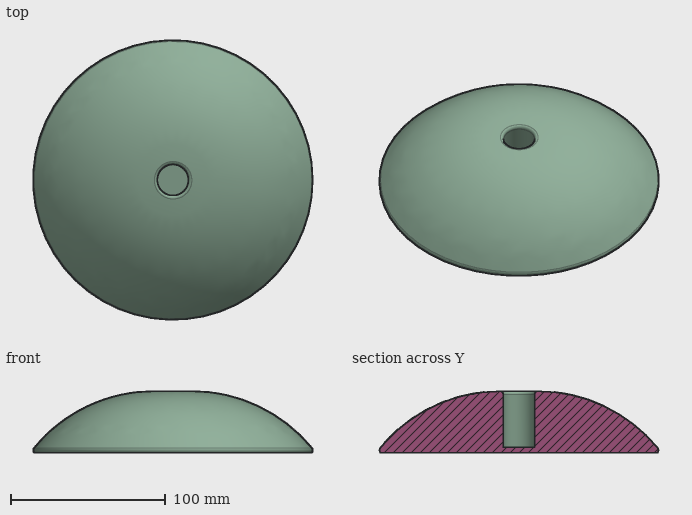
import cadquery as cq
import math

outer_radius = 90.5
total_height = 40.0

rim_height = 3.5
rim_edge_radius = 89.8

bore_radius = 20.0 / 2
mouth_radius = 12.1
bore_depth = 36.2
bore_floor = total_height - bore_depth
mouth_rounding = mouth_radius - bore_radius

dome_run = rim_edge_radius - mouth_radius
dome_drop = total_height - rim_height
dome_radius = (dome_run**2 + dome_drop**2) / (2 * dome_drop)
half_sweep = math.asin(dome_run / dome_radius) / 2
dome_middle = (
    mouth_radius + dome_radius * math.sin(half_sweep),
    total_height - dome_radius * (1 - math.cos(half_sweep)),
)

half_section = (
    cq.Workplane("XZ")
    .lineTo(rim_edge_radius, 0)
    .threePointArc((outer_radius, rim_height / 2), (rim_edge_radius, rim_height))
    .threePointArc(dome_middle, (mouth_radius, total_height))
    .radiusArc((bore_radius, total_height - mouth_rounding), -mouth_rounding)
    .lineTo(bore_radius, bore_floor)
    .lineTo(0, bore_floor)
    .close()
)
result = half_section.revolve(360, (0, 0, 0), (0, 1, 0))